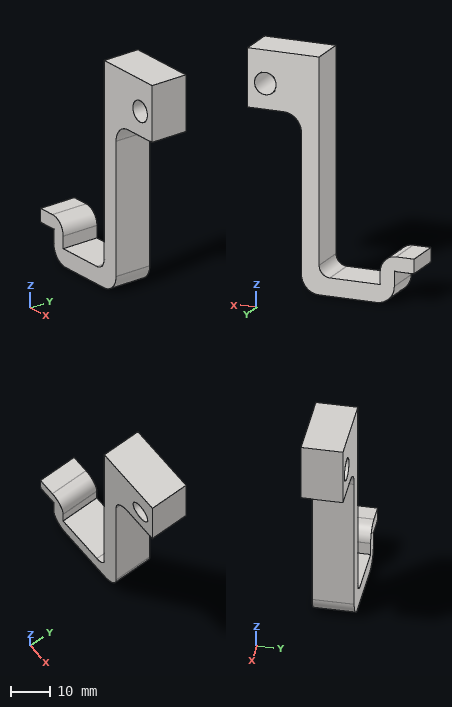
import cadquery as cq

length = 46.5
width = 11.0
height = 64.0

wall = 5.0
lip_wall = 4.0

head_height = 16.0
head_overhang = 15.05
hole_diameter = 6.0
hole_from_end = 5.0
hole_from_top = 9.0

lip_top = 13.0
lip_overhang = 5.5

outer_radius = 5.0
arm_inner_radius = 3.0
lip_radius = 4.5

arm_outer_x = length - head_overhang
arm_inner_x = arm_outer_x - wall
lip_inner_x = lip_overhang + lip_wall
lip_bottom = lip_top - lip_wall
head_bottom = height - head_height


def make_bar():
    """Extrude the sharp-cornered side profile across the full width."""
    outline = [
        (0, lip_bottom),
        (lip_overhang, lip_bottom),
        (lip_overhang, 0),
        (arm_outer_x, 0),
        (arm_outer_x, head_bottom),
        (length, head_bottom),
        (length, height),
        (arm_inner_x, height),
        (arm_inner_x, wall),
        (lip_inner_x, wall),
        (lip_inner_x, lip_top),
        (0, lip_top),
    ]
    return cq.Workplane("XZ").polyline(outline).close().extrude(-width)


def round_corner(body, x, z, radius):
    """Fillet the edge that runs across the width at (x, z)."""
    edge = cq.selectors.NearestToPointSelector((x, width / 2, z))
    return body.edges("|Y").edges(edge).fillet(radius)


def drill_head(body):
    """Cut the through hole in the head block."""
    hole = (
        cq.Workplane("XZ")
        .center(length - hole_from_end, height - hole_from_top)
        .circle(hole_diameter / 2)
        .extrude(-width)
    )
    return body.cut(hole)


rounded_corners = [
    (lip_overhang, 0, outer_radius),
    (arm_outer_x, 0, outer_radius),
    (arm_outer_x, head_bottom, outer_radius),
    (arm_inner_x, wall, arm_inner_radius),
    (lip_inner_x, lip_top, lip_radius),
]

bracket = make_bar()
for corner_x, corner_z, corner_radius in rounded_corners:
    bracket = round_corner(bracket, corner_x, corner_z, corner_radius)

result = drill_head(bracket)